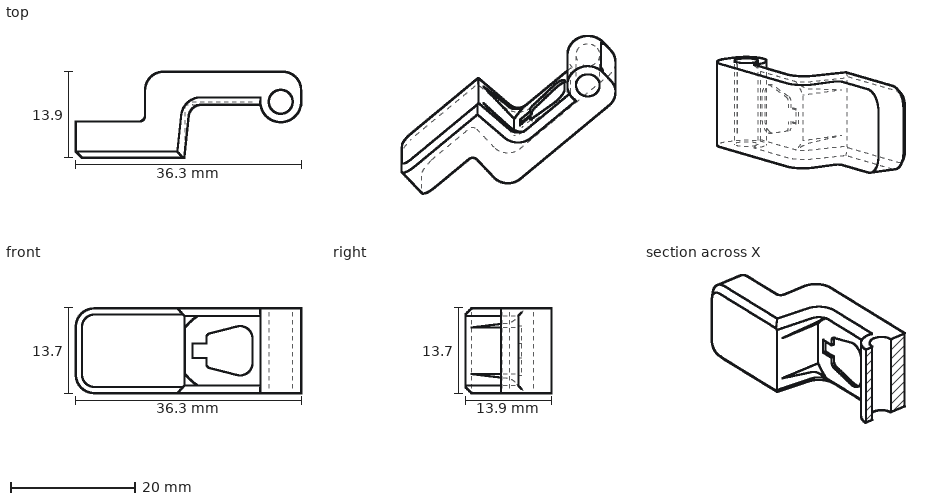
import cadquery as cq
import math

length = 36.3
depth = 13.9
height = 13.7
mid_z = height / 2

paddle_depth = 5.88
paddle_corner_radius = 3.0
paddle_chamfer = 1.0

step_x = 11.15
arm_corner_radius = 3.0
step_fillet = 0.9
arm_face_y = 8.53

wall_x = 17.5
wall_lean = 6.0
cavity_fillet = 2.0
cavity_chamfer = 1.25

barrel_radius = 3.3
barrel_x = length - barrel_radius
barrel_y = 9.05
pin_diameter = 3.8

relief_x = 17.6
relief_side_half_height = 3.75
relief_bulge_x = 18.6
relief_bulge_half_height = 4.8
relief_bend_x = 19.65
relief_end_x = 20.7

recess_depth = 0.5
tab_x = 18.8
tab_half_height = 1.15
recess_left_x = 21.0
recess_right_x = 28.45
recess_left_half_height = 2.65
recess_right_half_height = 4.55
recess_left_radius = 0.73
recess_right_radius = 2.0

clearance = 3.63


def make_blank():
    """Paddle and arm before the cavity is cut, with rounded and chamfered edges."""
    paddle_part = cq.Workplane("XY").box(step_x, paddle_depth, height, centered=False)
    arm_part = cq.Workplane("XY").box(length - step_x, depth, height, centered=False)
    blank = paddle_part.union(arm_part.translate((step_x, 0, 0))).clean()
    blank = blank.edges("|Z and >Y").fillet(arm_corner_radius)
    blank = blank.edges(cq.selectors.NearestToPointSelector((step_x, paddle_depth, mid_z))).fillet(step_fillet)
    blank = blank.edges("|Y and <X").fillet(paddle_corner_radius)
    return blank.faces("<Y").chamfer(paddle_chamfer)


def cavity_outline(z):
    """Cavity profile at height z, with the leaning wall on its left and the arm face at its back."""
    lean = math.tan(math.radians(wall_lean))
    corner_x = wall_x + arm_face_y * lean
    front_y = -clearance
    end_x = length + clearance
    turn = math.radians(90 - wall_lean)
    tangent_length = cavity_fillet * math.tan(turn / 2)
    center_x = corner_x + tangent_length
    center_y = arm_face_y - cavity_fillet
    wall_tangent = (
        corner_x - tangent_length * math.sin(math.radians(wall_lean)),
        arm_face_y - tangent_length * math.cos(math.radians(wall_lean)),
    )
    middle_angle = math.pi / 2 + turn / 2
    arc_middle = (
        center_x + cavity_fillet * math.cos(middle_angle),
        center_y + cavity_fillet * math.sin(middle_angle),
    )
    return (
        cq.Workplane("XY", origin=(0, 0, z))
        .moveTo(wall_x + front_y * lean, front_y)
        .lineTo(*wall_tangent)
        .threePointArc(arc_middle, (center_x, arm_face_y))
        .lineTo(end_x, arm_face_y)
        .lineTo(end_x, front_y)
        .close()
    )


def make_cavity():
    """Cavity that flares at 45 degrees toward the top and bottom faces."""
    straight = cavity_outline(0).extrude(height)
    upper_flare = cavity_outline(height - cavity_chamfer).extrude(cavity_chamfer, taper=-45)
    lower_flare = upper_flare.mirror("XY", (0, 0, mid_z))
    return straight.union(upper_flare).union(lower_flare)


def make_hinge():
    """Barrel with a flat shoulder that joins it to the arm along the end face."""
    shoulder_depth = arm_face_y + cavity_chamfer - barrel_y
    barrel = cq.Workplane("XY").center(barrel_x, barrel_y).circle(barrel_radius).extrude(height)
    shoulder = cq.Workplane("XY").box(barrel_radius, shoulder_depth, height, centered=False)
    return barrel.union(shoulder.translate((barrel_x, barrel_y, 0)))


def front_plane(y):
    """Plane across Y whose local axes are X and the height above mid height; extrusion runs toward -Y."""
    return cq.Workplane("XZ", origin=(0, y, mid_z))


def make_relief():
    """Flat-bottomed cut level with the arm face, with curved upper and lower corners."""
    end_half_height = mid_z - cavity_chamfer
    return (
        front_plane(arm_face_y)
        .moveTo(relief_x, -relief_side_half_height)
        .lineTo(relief_x, relief_side_half_height)
        .threePointArc((relief_bulge_x, relief_bulge_half_height), (relief_bend_x, end_half_height))
        .lineTo(relief_end_x, end_half_height)
        .lineTo(relief_end_x, -end_half_height)
        .lineTo(relief_bend_x, -end_half_height)
        .threePointArc((relief_bulge_x, -relief_bulge_half_height), (relief_x, -relief_side_half_height))
        .close()
        .extrude(arm_face_y)
    )


def make_recess():
    """Flared plate shape with a rectangular tab on its narrow end."""
    floor = front_plane(arm_face_y + recess_depth)
    plate = (
        floor.moveTo(recess_left_x, -recess_left_half_height)
        .lineTo(recess_left_x, recess_left_half_height)
        .lineTo(recess_right_x, recess_right_half_height)
        .lineTo(recess_right_x, -recess_right_half_height)
        .close()
        .extrude(recess_depth)
    )
    plate = plate.edges("|Y and <X").fillet(recess_left_radius)
    plate = plate.edges("|Y and >X").fillet(recess_right_radius)
    tab = (
        floor.moveTo(tab_x, -tab_half_height)
        .lineTo(tab_x, tab_half_height)
        .lineTo(recess_left_x, tab_half_height)
        .lineTo(recess_left_x, -tab_half_height)
        .close()
        .extrude(recess_depth)
    )
    return plate.union(tab)


pin_hole = cq.Workplane("XY").center(barrel_x, barrel_y).circle(pin_diameter / 2).extrude(height)

result = (
    make_blank()
    .cut(make_cavity())
    .union(make_hinge())
    .cut(make_relief())
    .cut(make_recess())
    .cut(pin_hole)
)